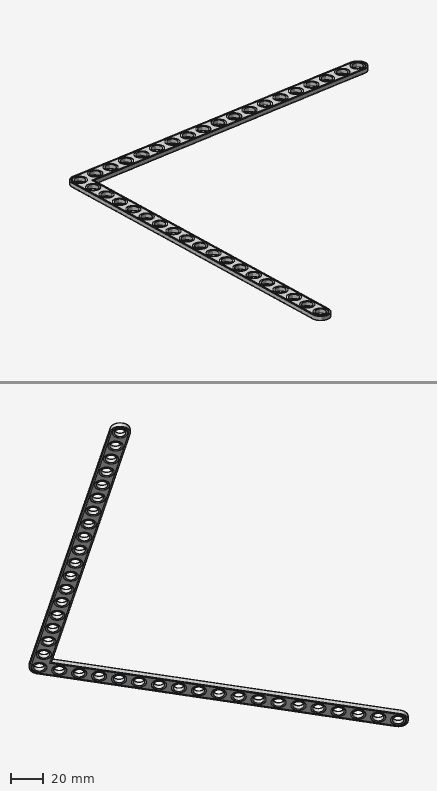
import cadquery as cq

arm_length = 237.5
holes_per_arm = 19
thickness = 3.0
hole_diameter = 7.0
counterbore_diameter = 9.3
edge_step_width = 1.0
step_depth = 0.12

pitch = arm_length / holes_per_arm
arm_width = pitch
centre_distance = arm_length - arm_width
upper_step = thickness - step_depth

hole_centres = [(0, 0)]
for index in range(1, holes_per_arm):
    hole_centres.append((index * pitch, 0))
    hole_centres.append((0, index * pitch))


def make_angle(width, bottom, height):
    """L-shaped bar with round ends, running along the hole centre lines."""
    length = centre_distance + width
    middle = centre_distance / 2
    base = cq.Workplane("XY").workplane(offset=bottom)
    arm_x = base.center(middle, 0).slot2D(length, width, 0).extrude(height)
    arm_y = base.center(0, middle).slot2D(length, width, 90).extrude(height)
    return arm_x.union(arm_y)


def make_discs(diameter, bottom, height):
    """One disc on every hole centre."""
    base = cq.Workplane("XY").workplane(offset=bottom)
    return base.pushPoints(hole_centres).circle(diameter / 2).extrude(height)


middle_layer = make_angle(arm_width, step_depth, upper_step - step_depth)
core = make_angle(arm_width - 2 * edge_step_width, 0, thickness)
plate = middle_layer.union(core)

plate = plate.cut(make_discs(hole_diameter, 0, thickness))
for counterbore_bottom in (0, upper_step):
    plate = plate.cut(make_discs(counterbore_diameter, counterbore_bottom, step_depth))

result = plate